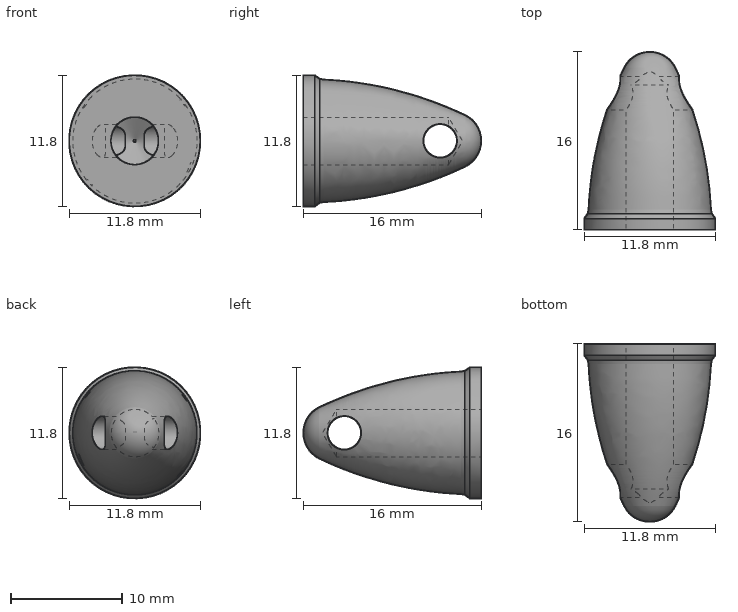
import cadquery as cq
import math

length = 16.0
flange_radius = 11.8 / 2
flange_thickness = 1.02
chamfer_end = 1.47
collar_base_radius = 5.58
collar_end_radius = 5.52
collar_end = 1.82
flank_mid_y = 7.87
flank_mid_radius = 4.67
nose_start = 14.58
nose_start_radius = 2.3

bore_diameter = 4.27
bore_depth = 13.02
drill_point_angle = 118.0
drill_tip_radius = 0.11

cross_hole_diameter = 3.0
cross_hole_y = 12.3


def make_body():
    dome_height = length - nose_start
    dome_radius = (nose_start_radius**2 + dome_height**2) / (2 * dome_height)
    half_sweep = math.asin(nose_start_radius / dome_radius) / 2
    dome_mid = (
        dome_radius * math.sin(half_sweep),
        length - dome_radius * (1 - math.cos(half_sweep)),
    )
    profile = (
        cq.Workplane("XY")
        .lineTo(flange_radius, 0)
        .lineTo(flange_radius, flange_thickness)
        .lineTo(collar_base_radius, chamfer_end)
        .lineTo(collar_end_radius, collar_end)
        .threePointArc((flank_mid_radius, flank_mid_y), (nose_start_radius, nose_start))
        .threePointArc(dome_mid, (0, length))
        .close()
    )
    return profile.revolve(360, (0, 0), (0, 1))


def make_bore():
    bore_radius = bore_diameter / 2
    half_angle = math.radians(drill_point_angle / 2)
    tip_y = bore_depth + (bore_radius - drill_tip_radius) / math.tan(half_angle)
    profile = (
        cq.Workplane("XY")
        .lineTo(bore_radius, 0)
        .lineTo(bore_radius, bore_depth)
        .lineTo(drill_tip_radius, tip_y)
        .lineTo(0, tip_y)
        .close()
    )
    return profile.revolve(360, (0, 0), (0, 1))


def make_cross_hole():
    return (
        cq.Workplane("YZ")
        .center(cross_hole_y, 0)
        .circle(cross_hole_diameter / 2)
        .extrude(flange_radius, both=True)
    )


result = make_body().cut(make_bore()).cut(make_cross_hole())